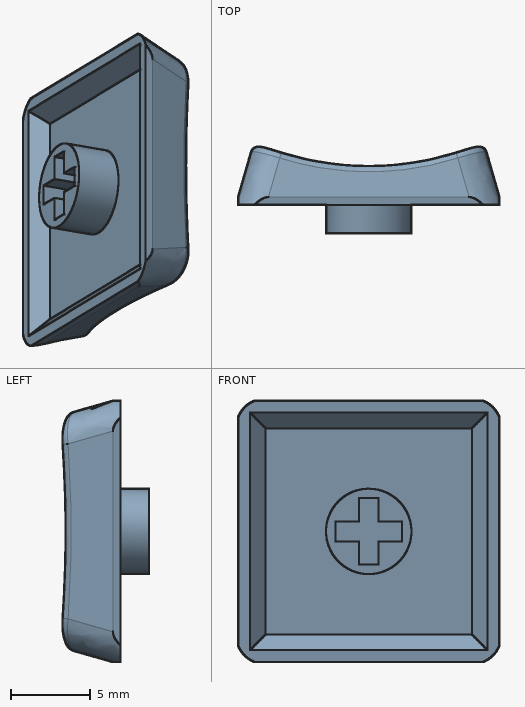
import cadquery as cq
import math

width = 16.5
band_height = 0.5
taper_angle = 16.0
blank_height = 4.95
corner_radius = 2.0
edge_radius = 0.5

dish_bottom = 2.08
dish_radius_across = 17.65
dish_radius_along = 72.6
dish_reach = 9.9

pocket_mouth = 15.0
pocket_floor = 13.0
pocket_depth = 1.0

stem_diameter = 5.4
stem_projection = 1.8
cross_length = 4.19
cross_thickness = 1.25


def plane_at(height):
    """Plane parallel to the rim whose normal is +Y."""
    return cq.Workplane("XZ", origin=(0, height, 0)).transformed(rotate=(180, 0, 0))


def square_frustum(start, start_width, end, end_width):
    return (
        plane_at(start)
        .rect(start_width, start_width)
        .workplane(offset=end - start)
        .rect(end_width, end_width)
        .loft(ruled=True)
    )


def tapered_blank():
    """Rounded frustum trimmed by a square prism, leaving the straight band at the rim."""
    slope = math.tan(math.radians(taper_angle))
    rim_width = width + 2 * band_height * slope
    end_width = rim_width - 2 * blank_height * slope
    frustum = square_frustum(0, rim_width, blank_height, end_width)
    slanted_edges = frustum.edges("not(#Y)")
    prism = plane_at(0).rect(width, width).extrude(blank_height)
    return slanted_edges.fillet(corner_radius).intersect(prism)


def dish_cutter():
    """An arc across X, swung about a distant axis parallel to X."""
    sagitta = dish_radius_across - math.sqrt(dish_radius_across**2 - dish_reach**2)
    dish_edge = dish_bottom + sagitta
    cutter_top = dish_edge + blank_height
    axis_height = dish_bottom + dish_radius_along
    half_swing = math.degrees(math.asin(dish_reach / dish_radius_along))
    profile = (
        cq.Workplane("XY")
        .moveTo(-dish_reach, dish_edge)
        .threePointArc((0, dish_bottom), (dish_reach, dish_edge))
        .lineTo(dish_reach, cutter_top)
        .lineTo(-dish_reach, cutter_top)
        .close()
    )
    axis_start = (0, axis_height, 0)
    axis_end = (1, axis_height, 0)
    cutter = profile.revolve(2 * half_swing, axis_start, axis_end)
    return cutter.rotate(axis_start, axis_end, -half_swing)


def stem():
    return plane_at(-stem_projection).circle(stem_diameter / 2).extrude(stem_projection + pocket_depth)


def cross_socket():
    """Cross-shaped hole from the stem tip to the pocket floor."""
    socket_depth = stem_projection + pocket_depth
    upright = plane_at(-stem_projection).rect(cross_thickness, cross_length).extrude(socket_depth)
    crossbar = plane_at(-stem_projection).rect(cross_length, cross_thickness).extrude(socket_depth)
    return upright.union(crossbar)


cap = tapered_blank().cut(dish_cutter())
dish_face = cq.selectors.NearestToPointSelector((0, dish_bottom, 0))
cap = cap.faces(dish_face).edges().fillet(edge_radius)
pocket = square_frustum(0, pocket_mouth, pocket_depth, pocket_floor)
result = cap.cut(pocket).union(stem()).cut(cross_socket())